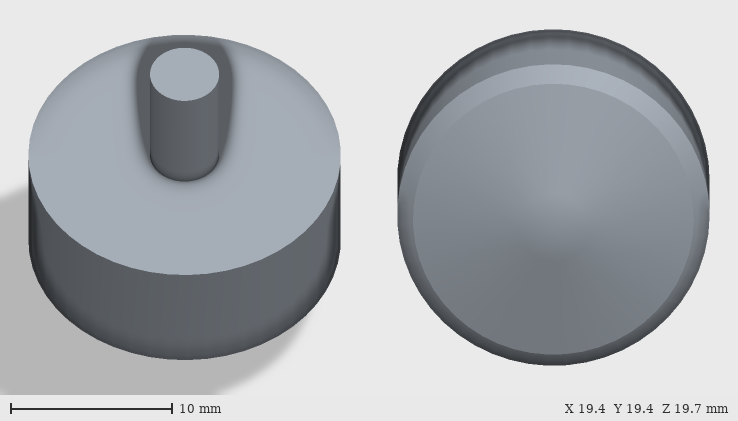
import cadquery as cq

total_height = 19.7
body_diameter = 19.4
pin_diameter = 4.3
pin_length = 7.82
chamfer_size = 0.98
cone_height = 2.64

body_radius = body_diameter / 2
pin_radius = pin_diameter / 2
cone_radius = body_radius - chamfer_size
body_bottom = cone_height + chamfer_size
body_top = total_height - pin_length

half_profile = (
    cq.Workplane("XZ")
    .moveTo(0, 0)
    .lineTo(cone_radius, cone_height)
    .lineTo(body_radius, body_bottom)
    .lineTo(body_radius, body_top)
    .lineTo(pin_radius, body_top)
    .lineTo(pin_radius, total_height)
    .lineTo(0, total_height)
    .close()
)

result = half_profile.revolve(360, (0, 0, 0), (0, 1, 0))